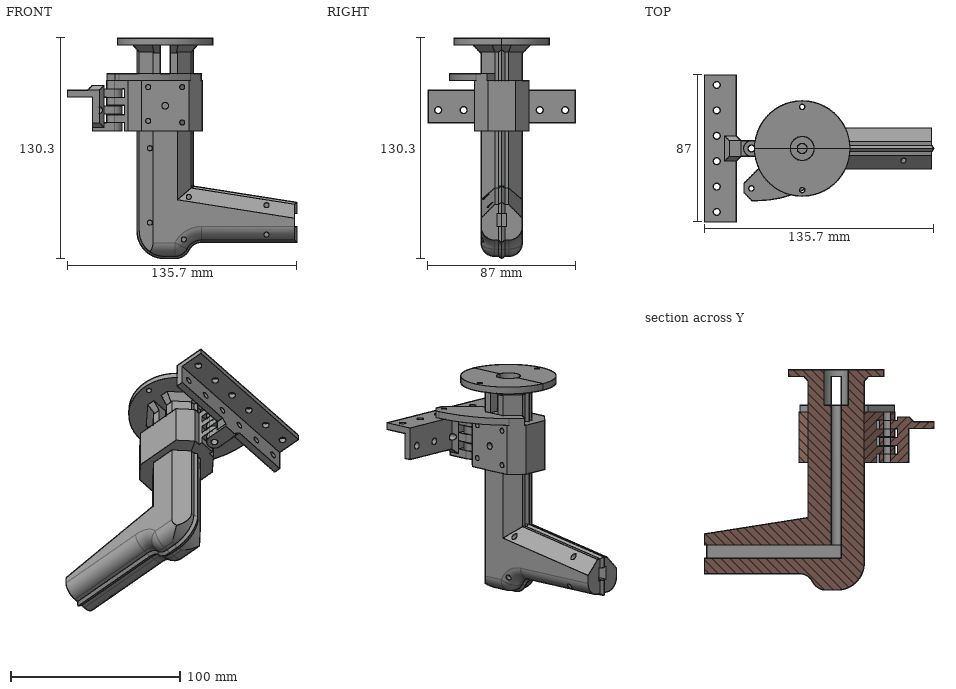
import cadquery as cq
import math


disk_radius = 28.2
disk_thickness = 4.1
disk_hole_offset = 24.5
screw_diameter = 3.0
bolt_diameter = 4.0
neck_half_x = 15.3
neck_half_y = 12.2
edge_chamfer = 8.1
flare_width = 3.7
flare_height = 4.2
flare_width_y = 4.7
handle_bottom = -128.9
arm_end_x = 76.5
arm_corner_z = -88.5
arm_end_top_z = -98.0
arm_bottom_z = -119.2
heel_radius = 14.9
toe_start_x = 5.7
arm_bottom_start_x = 21.4
bottom_fillet = 8.0
toe_radius = 8.1
keel_height = 1.4
keel_half_width = 1.9
bore_radius = 7.0
bore_floor_z = -20.9
slot_width = 5.8
cable_diameter = 5.8
channel_height = 7.7
channel_z = -107.4
handle_screws = [(-9.1, -65.0), (-9.1, -108.9), (14.0, -93.7), (59.8, -98.6), (59.8, -116.0), (11.0, -118.8)]

collar_half_x = 22.0
collar_half_y = 16.1
collar_chamfer = 8.0
collar_height = 29.8
plate_thickness = 4.1
collar_screw_x = 10.0
collar_screw_low_left_z = -48.8
collar_screw_low_right_z = -49.8
collar_screw_high_z = -28.9
collar_bolt_z = -39.9
plate_ear_back = (-34.5, -20.6)
plate_ear_tip = (-34.5, -25.9)
plate_ear_front = (-29.7, -30.9)
plate_arc_start_x = -27.3
plate_arc_end_x = 14.9
plate_right_tip_x = 21.4
plate_inner_x = -18.9
plate_hole = (-30.0, -23.6)

hinge_x = -30.0
hinge_radius = 4.6
hinge_slot_end_x = -24.1
hinge_play = 0.3
knuckle_count = 6
finger_levels = (0, 2, 4)
middle_finger = 2

bracket_left_x = -57.8
bracket_length = 87.0
flange_thickness = 4.1
flange_back_x = -38.9
flange_top_z = -30.7
flange_bottom_z = -49.9
gusset_flare = 2.8
bracket_hole_count = 6
bracket_hole_span = 75.0
flat_hole_x = -50.5
upright_hole_z = -42.5

collar_top_z = bore_floor_z - plate_thickness
collar_bottom_z = collar_top_z - collar_height
knuckle_height = collar_height / knuckle_count
plate_inner_corner = (plate_inner_x, plate_ear_back[1] + plate_inner_x - plate_ear_back[0])
collar_corner_offset = collar_half_x + collar_half_y - collar_chamfer
plate_right_tip = (plate_right_tip_x, plate_right_tip_x - collar_corner_offset)
plate_arc_end = (plate_arc_end_x, plate_arc_end_x - collar_corner_offset)
long = 406.9
pick_margin = 1.4


def octagon(half_x, half_y, chamfer):
    """Corners of a rectangle centred on the origin with its four corners cut at 45 degrees."""
    flat_x = half_x - chamfer
    flat_y = half_y - chamfer
    return [
        (-half_x, -flat_y), (-flat_x, -half_y), (flat_x, -half_y), (half_x, -flat_y),
        (half_x, flat_y), (flat_x, half_y), (-flat_x, half_y), (-half_x, flat_y),
    ]


def prism(points, bottom, top):
    return cq.Workplane("XY").workplane(offset=bottom).polyline(points).close().extrude(top - bottom)


def block(x0, x1, y0, y1, z0, z1):
    return cq.Workplane("XY").box(x1 - x0, y1 - y0, z1 - z0, centered=False).translate((x0, y0, z0))


def rod_z(x, y, diameter, z0, z1):
    return cq.Workplane("XY").workplane(offset=z0).center(x, y).circle(diameter / 2).extrude(z1 - z0)


def rod_y(x, z, diameter, y0, y1):
    start = cq.Workplane("XZ", origin=(x, y0, z))
    return start.circle(diameter / 2).extrude(y0 - y1)


def profile_y(points, half_width):
    """Polygon in the XZ plane, extruded to both sides of Y = 0."""
    return cq.Workplane("XZ").polyline(points).close().extrude(half_width, both=True)


def handle_outline(rounded_heel):
    """Side outline of neck and arm on the XZ plane, with its top inside the disk."""
    top_z = -disk_thickness / 2
    toe_center_z = handle_bottom + toe_radius
    rise = arm_bottom_z - handle_bottom
    run = arm_bottom_start_x - toe_start_x
    turn = 2 * math.atan2(rise, run)
    throat_radius = run / math.sin(turn) - toe_radius
    throat_center_z = arm_bottom_z - throat_radius

    def toe(angle):
        return (toe_start_x + toe_radius * math.sin(angle), toe_center_z - toe_radius * math.cos(angle))

    def throat(angle):
        return (
            arm_bottom_start_x - throat_radius * math.sin(angle),
            throat_center_z + throat_radius * math.cos(angle),
        )

    outline = cq.Workplane("XZ").moveTo(-neck_half_x, top_z)
    if rounded_heel:
        heel_center = (-neck_half_x + heel_radius, handle_bottom + heel_radius)
        heel_reach = heel_radius * math.sqrt(0.5)
        outline = outline.lineTo(-neck_half_x, heel_center[1])
        outline = outline.threePointArc(
            (heel_center[0] - heel_reach, heel_center[1] - heel_reach), (heel_center[0], handle_bottom)
        )
    else:
        outline = outline.lineTo(-neck_half_x, handle_bottom)
    return (
        outline.lineTo(toe_start_x, handle_bottom)
        .threePointArc(toe(turn / 2), toe(turn))
        .threePointArc(throat(turn / 2), (arm_bottom_start_x, arm_bottom_z))
        .lineTo(arm_end_x, arm_bottom_z)
        .lineTo(arm_end_x, arm_end_top_z)
        .lineTo(neck_half_x, arm_corner_z)
        .lineTo(neck_half_x, top_z)
        .close()
    )


def handle_shell():
    """Neck and arm: chamfered along the back and top, rounded along the bottom."""
    shell = handle_outline(False).extrude(neck_half_y, both=True)
    bottom_edges = cq.selectors.BoxSelector(
        (-neck_half_x + pick_margin, -long, handle_bottom - pick_margin),
        (arm_end_x - pick_margin, long, arm_bottom_z + pick_margin),
    )
    shell = shell.faces("|Y").edges(bottom_edges).fillet(bottom_fillet)
    top_edges = cq.selectors.BoxSelector(
        (neck_half_x - pick_margin, -long, arm_end_top_z),
        (arm_end_x - pick_margin, long, 0),
    )
    shell = shell.faces("|Y").edges(top_edges).chamfer(edge_chamfer)
    corners = octagon(neck_half_x, neck_half_y, edge_chamfer)
    left_corners = corners[-2:] + corners[:2]
    chamfered_left = prism(left_corners + [(long, -neck_half_y), (long, neck_half_y)], handle_bottom, 0)
    rounded_heel = handle_outline(True).extrude(neck_half_y, both=True)
    return shell.intersect(chamfered_left).intersect(rounded_heel)


def keel():
    """Ridge of triangular section along the split, interrupted at the mouth of the cable channel."""
    crest = handle_outline(True).val().offset2D(keel_height, "intersection")[0]
    slope = math.degrees(math.atan2(keel_height, keel_half_width))
    front = cq.Workplane("XZ").add(crest).toPending().extrude(keel_half_width, taper=slope)
    back = cq.Workplane("XZ").add(crest).toPending().extrude(-keel_half_width, taper=slope)
    mouth = block(
        arm_end_x, arm_end_x + keel_height, -keel_half_width, keel_half_width,
        channel_z - channel_height / 2, channel_z + channel_height / 2,
    )
    return front.union(back).cut(mouth)


def flare():
    """Spreading top of the neck: the faces of the octagon lean outwards up to the disk."""
    corner_distance = (neck_half_x + neck_half_y - edge_chamfer) / math.sqrt(2)
    sides = [
        (0, neck_half_x, flare_width, flare_height),
        (90, neck_half_y, flare_width_y, flare_width_y),
        (45, corner_distance, flare_width, flare_height),
        (-45, corner_distance, flare_width, flare_height),
    ]
    bottom = -3 * disk_thickness
    solid = block(-disk_radius, disk_radius, -disk_radius, disk_radius, bottom, -disk_thickness)
    for angle, distance, width, height in sides:
        wedge = profile_y(
            [
                (-distance, bottom), (distance, bottom), (distance, -disk_thickness - height),
                (distance + width, -disk_thickness), (-distance - width, -disk_thickness),
                (-distance, -disk_thickness - height),
            ],
            disk_radius,
        )
        solid = solid.intersect(wedge.rotate((0, 0, 0), (0, 0, 1), angle))
    return solid


def cable_passage():
    """Bore through the disk, cross slot in the neck, cable hole down the neck and channel along the arm."""
    bore = rod_z(0, 0, 2 * bore_radius, bore_floor_z, 0)
    slot = block(-slot_width / 2, slot_width / 2, -disk_radius, disk_radius, bore_floor_z, -disk_thickness)
    hole = rod_z(0, 0, cable_diameter, channel_z, bore_floor_z)
    channel = block(
        -cable_diameter / 2, arm_end_x, -cable_diameter / 2, cable_diameter / 2,
        channel_z - channel_height / 2, channel_z + channel_height / 2,
    )
    return bore.union(slot).union(hole).union(channel)


def whole_handle():
    """Both halves of the handle in one piece, without the screw holes of the front half."""
    disk = rod_z(0, 0, 2 * disk_radius, -disk_thickness, 0)
    handle = handle_shell().union(keel()).union(flare()).union(disk).cut(cable_passage())
    for y in (-disk_hole_offset, disk_hole_offset):
        handle = handle.cut(rod_z(0, y, screw_diameter, -disk_thickness, 0))
    return handle


def handle_front():
    half = whole_handle().intersect(block(-long, long, -long, 0, -long, long))
    for x, z in handle_screws:
        half = half.cut(rod_y(x, z, screw_diameter, -neck_half_y, 0))
    return half


def handle_back():
    return whole_handle().intersect(block(-long, long, 0, long, -long, long))


def neck_section(bottom, top):
    """Full section of the neck, keel included."""
    neck = prism(octagon(neck_half_x, neck_half_y, edge_chamfer), bottom, top)
    crest_x = neck_half_x + keel_height
    tongue = [
        (-crest_x, 0), (-neck_half_x, -keel_half_width), (neck_half_x, -keel_half_width),
        (crest_x, 0), (neck_half_x, keel_half_width), (-neck_half_x, keel_half_width),
    ]
    return neck.union(prism(tongue, bottom, top))


def collar_ring():
    ring = prism(octagon(collar_half_x, collar_half_y, collar_chamfer), collar_bottom_z, collar_top_z)
    return ring.cut(neck_section(collar_bottom_z, collar_top_z))


def collar_back_zone():
    """Region behind the slanting splits, which run from corner to corner of the two octagons."""
    outer = (collar_half_x, -(collar_half_y - collar_chamfer))
    inner = (neck_half_x, -(neck_half_y - edge_chamfer))
    corners = [outer, inner, (-inner[0], -inner[1]), (-outer[0], -outer[1])]
    surroundings = [(-long, long), (long, long), (long, outer[1])]
    return prism(corners + surroundings, collar_bottom_z, collar_top_z)


def index_plate():
    """Flat plate on top of the collar with an arc-shaped front edge and a pointed ear."""
    outline = (
        cq.Workplane("XY")
        .workplane(offset=collar_top_z)
        .moveTo(*plate_ear_front)
        .lineTo(plate_arc_start_x, plate_ear_front[1])
        .tangentArcPoint(plate_arc_end, relative=False)
        .lineTo(*plate_right_tip)
        .lineTo(neck_half_x, -(neck_half_y - edge_chamfer))
        .lineTo(-neck_half_x, -(neck_half_y - edge_chamfer))
        .lineTo(*plate_inner_corner)
        .lineTo(*plate_ear_back)
        .lineTo(*plate_ear_tip)
        .close()
    )
    plate = outline.extrude(plate_thickness)
    hole = rod_z(*plate_hole, screw_diameter, collar_top_z, collar_top_z + plate_thickness)
    return plate.cut(neck_section(collar_top_z, collar_top_z + plate_thickness)).cut(hole)


def hinge_arm(end_x, bottom, top):
    """Bar with a round end on the hinge axis, reaching from there to end_x."""
    start_x, stop_x = sorted((hinge_x, end_x))
    bar = block(start_x, stop_x, -hinge_radius, hinge_radius, bottom, top)
    return bar.union(rod_z(hinge_x, 0, 2 * hinge_radius, bottom, top))


def hinge_pin_hole():
    return rod_z(hinge_x, 0, bolt_diameter, collar_bottom_z, collar_top_z)


def collar_main():
    """Front of the collar with the index plate on top and the hinge lugs on the left."""
    lugs = hinge_arm(-collar_half_x, collar_bottom_z, collar_top_z)
    for level in finger_levels:
        play = hinge_play if level == middle_finger else 0
        bottom = collar_bottom_z + level * knuckle_height
        lugs = lugs.cut(
            block(-long, hinge_slot_end_x, -long, long, bottom - play, bottom + knuckle_height + play)
        )
    collar = collar_ring().cut(collar_back_zone()).union(lugs).union(index_plate()).cut(hinge_pin_hole())
    wall_holes = [
        (-collar_screw_x, collar_screw_high_z, screw_diameter),
        (collar_screw_x, collar_screw_high_z, screw_diameter),
        (-collar_screw_x, collar_screw_low_left_z, screw_diameter),
        (collar_screw_x, collar_screw_low_right_z, screw_diameter),
        (0, collar_bolt_z, bolt_diameter),
    ]
    for x, z, diameter in wall_holes:
        collar = collar.cut(rod_y(x, z, diameter, -collar_half_y, 0))
    return collar


def collar_back():
    return collar_ring().intersect(collar_back_zone())


def gusset():
    """Block behind the angle, flaring at 45 degrees where it meets the two flanges."""
    front_x = flange_back_x + gusset_flare
    back_x = flange_back_x - flange_thickness
    top = flange_top_z + gusset_flare
    bottom = flange_bottom_z - gusset_flare
    wide = hinge_radius + gusset_flare
    side = profile_y(
        [
            (back_x, bottom), (front_x, bottom), (front_x, top), (back_x, top),
            (back_x - gusset_flare, flange_top_z), (back_x, flange_top_z),
        ],
        wide,
    )
    plan = prism(
        [
            (back_x - gusset_flare, -wide), (flange_back_x, -wide), (front_x, -hinge_radius),
            (front_x, hinge_radius), (flange_back_x, wide), (back_x - gusset_flare, wide),
        ],
        bottom,
        top,
    )
    end_view = [
        (-hinge_radius, top), (-wide, flange_top_z), (-wide, flange_bottom_z), (-hinge_radius, bottom),
        (hinge_radius, bottom), (wide, flange_bottom_z), (wide, flange_top_z), (hinge_radius, top),
    ]
    end = cq.Workplane("YZ").polyline(end_view).close().extrude(long, both=True)
    return side.intersect(plan).intersect(end)


def bracket():
    """Drilled angle with a gusset and three hinge fingers."""
    half = bracket_length / 2
    upright_x = flange_back_x - flange_thickness
    angle = profile_y(
        [
            (bracket_left_x, flange_top_z), (flange_back_x, flange_top_z),
            (flange_back_x, flange_bottom_z), (upright_x, flange_bottom_z),
            (upright_x, flange_top_z - flange_thickness),
            (bracket_left_x, flange_top_z - flange_thickness),
        ],
        half,
    )
    body = angle.union(gusset())
    for level in finger_levels:
        bottom = collar_bottom_z + level * knuckle_height
        root_x = upright_x if level == 0 else flange_back_x
        body = body.union(hinge_arm(root_x, bottom, bottom + knuckle_height))
    pitch = bracket_hole_span / (bracket_hole_count - 1)
    for index in range(bracket_hole_count):
        y = index * pitch - bracket_hole_span / 2
        body = body.cut(rod_z(flat_hole_x, y, bolt_diameter, flange_top_z - flange_thickness, flange_top_z))
        upright_hole = cq.Workplane("YZ", origin=(upright_x, y, upright_hole_z)).circle(bolt_diameter / 2)
        body = body.cut(upright_hole.extrude(flange_thickness + gusset_flare))
    return body.cut(hinge_pin_hole())


result = cq.Compound.makeCompound(
    [
        handle_front().val(),
        handle_back().val(),
        collar_main().val(),
        collar_back().val(),
        bracket().val(),
    ]
)